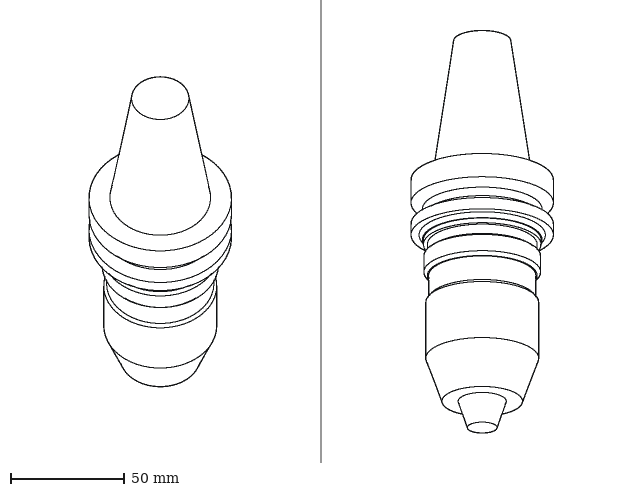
import cadquery as cq

total_height = 183.9

taper_base_diameter = 44.5
taper_ratio = 7 / 24
taper_length = 65.5
neck_height = 0.5
taper_base_z = total_height - taper_length
taper_top_diameter = taper_base_diameter - taper_ratio * taper_length

flange_diameter = 63.0
flange_top_z = taper_base_z - neck_height
flange_bottom_z = 91.5
groove_diameter = 53.0
groove_upper_rim_z = 106.8
groove_lower_rim_z = 97.0
groove_side_height = 3.0

shoulder_diameter = 55.9
shoulder_bottom_diameter = 53.0
collar_diameter = 52.0
collar_top_z = 89.4
collar_bottom_z = 87.2
relief_diameter = 48.5

ring_diameter = 51.7
ring_top_z = 82.8
ring_bottom_z = 72.3
ring_top_chamfer = 1.1
ring_bottom_chamfer = 1.7

waist_diameter = 47.5
body_diameter = 50.0
body_top_z = 61.0
body_bottom_z = 33.0
body_top_chamfer = 1.5

sleeve_bottom_diameter = 35.7
sleeve_bottom_z = 12.5
nose_top_diameter = 21.3
nose_tip_diameter = 13.2

profile = [
    (taper_top_diameter, total_height),
    (taper_base_diameter, taper_base_z),
    (taper_base_diameter, flange_top_z),
    (flange_diameter, flange_top_z),
    (flange_diameter, groove_upper_rim_z),
    (groove_diameter, groove_upper_rim_z - groove_side_height),
    (groove_diameter, groove_lower_rim_z + groove_side_height),
    (flange_diameter, groove_lower_rim_z),
    (flange_diameter, flange_bottom_z),
    (shoulder_diameter, flange_bottom_z),
    (shoulder_bottom_diameter, collar_top_z),
    (collar_diameter, collar_top_z),
    (collar_diameter, collar_bottom_z),
    (relief_diameter, collar_bottom_z),
    (relief_diameter, ring_top_z),
    (ring_diameter, ring_top_z - ring_top_chamfer),
    (ring_diameter, ring_bottom_z + ring_bottom_chamfer),
    (relief_diameter, ring_bottom_z),
    (waist_diameter, ring_bottom_z),
    (waist_diameter, body_top_z),
    (body_diameter, body_top_z - body_top_chamfer),
    (body_diameter, body_bottom_z),
    (sleeve_bottom_diameter, sleeve_bottom_z),
    (nose_top_diameter, sleeve_bottom_z),
    (nose_tip_diameter, 0),
]

half_section = [(diameter / 2, z) for diameter, z in profile]
axis_ends = [(0, 0), (0, total_height)]

result = (
    cq.Workplane("XZ")
    .polyline(half_section + axis_ends)
    .close()
    .revolve(360, (0, 0, 0), (0, 1, 0))
)